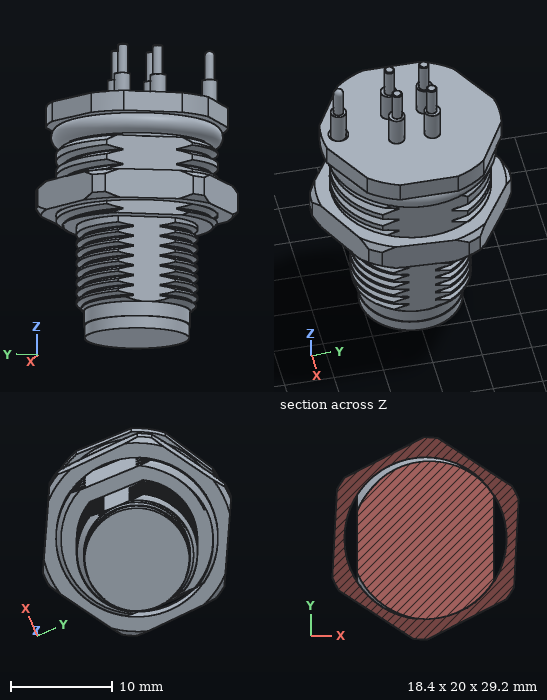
import cadquery as cq
import math

total_height = 29.2
stub_step_z = 1.23
plug_thread_bottom_z = 2.7
mount_thread_bottom_z = 11.2
nut_bottom_z = 12.35
nut_height = 2.85
mount_thread_top_z = 19.05
flange_thickness = 2.0
pin_shoulder_z = 26.2

stub_end_radius = 5.17
stub_radius = 5.25
plug_crest_radius = 6.0
plug_root_radius = 5.43
plug_pitch = 1.0
plug_groove_floor = 0.12
plug_end_chamfer = 0.7
plug_flat_half_width = stub_radius
mount_crest_radius = 8.0
mount_root_radius = 7.27
mount_pitch = 1.5
mount_groove_floor = 0.1
mount_end_chamfer = 0.5
mount_flat_half_width = 6.75
flats_slab_depth = 3 * mount_crest_radius

thread_half_angle = 30.0
groove_overshoot = 0.15
groove_start_angle = 180.0
mount_groove_start_z = 10.25
mount_groove_turns = 5.5
plug_groove_start_z = 2.35
plug_groove_turns = 8.5

ring_thickness = 2.0
ring_section_radius = ring_thickness / 2
ring_outer_radius = 8.5
ring_inner_radius = ring_outer_radius - ring_thickness
neck_gap = 0.18
flange_half_flats = ring_outer_radius
flange_corner_radius = 9.0
flange_bottom_z = mount_thread_top_z + neck_gap + ring_thickness
flange_top_z = flange_bottom_z + flange_thickness
ring_center_z = flange_bottom_z - ring_section_radius

nut_half_flats = 9.0
nut_corner_radius = 20.0 / 2
nut_chamfer = 0.53
nut_twist = -3.0

pin_offset = 1.75
sleeve_offset = 1.8
pin_radius = 0.5
sleeve_radius = 0.8
pin_chamfer = 0.1
earth_pin_y = -7.3
earth_sleeve_radius = 0.75
earth_recess_radius = 1.0
earth_recess_depth = earth_recess_radius - earth_sleeve_radius


def cylinder(radius, bottom_z, top_z, x=0.0, y=0.0):
    """Upright cylinder between two levels."""
    return cq.Workplane("XY", origin=(x, y, bottom_z)).circle(radius).extrude(top_z - bottom_z)


def rounded_hexagon(half_flats, corner_radius, bottom_z, height):
    """Hexagonal plate with flats facing +X and -X, its corners trimmed by a cylinder."""
    corner_diameter = 2 * half_flats / math.cos(math.radians(30))
    hexagon = (
        cq.Workplane("XY", origin=(0, 0, bottom_z))
        .transformed(rotate=(0, 0, 30))
        .polygon(6, corner_diameter)
        .extrude(height)
    )
    return hexagon.intersect(cylinder(corner_radius, bottom_z, bottom_z + height))


def thread_groove(crest_radius, root_radius, floor_width, pitch, turns, start_z):
    """Helical cutter whose narrow floor runs along the thread root."""
    outer_radius = crest_radius + groove_overshoot
    flank_width = (outer_radius - root_radius) * math.tan(math.radians(thread_half_angle))
    half_floor = floor_width / 2
    half_mouth = half_floor + flank_width
    path = cq.Wire.makeHelix(pitch, pitch * turns, root_radius)
    groove = (
        cq.Workplane("XZ")
        .moveTo(root_radius, -half_floor)
        .lineTo(root_radius, half_floor)
        .lineTo(outer_radius, half_mouth)
        .lineTo(outer_radius, -half_mouth)
        .close()
        .sweep(cq.Workplane(obj=path), isFrenet=True)
    )
    return groove.rotate((0, 0, 0), (0, 0, 1), groove_start_angle).translate((0, 0, start_z))


def side_flats(half_width, bottom_z, top_z):
    """Slab that trims a threaded length to two flats facing +X and -X."""
    slab = cq.Workplane("XY", origin=(0, 0, bottom_z)).rect(2 * half_width, flats_slab_depth)
    return slab.extrude(top_z - bottom_z)


def make_plug_thread():
    blank = cylinder(plug_crest_radius, plug_thread_bottom_z, mount_thread_bottom_z)
    blank = blank.faces("<Z").chamfer(plug_end_chamfer)
    groove = thread_groove(
        plug_crest_radius,
        plug_root_radius,
        plug_groove_floor,
        plug_pitch,
        plug_groove_turns,
        plug_groove_start_z,
    )
    flats = side_flats(plug_flat_half_width, plug_thread_bottom_z, mount_thread_bottom_z)
    return blank.cut(groove).intersect(flats)


def make_mount_thread():
    blank = cylinder(mount_crest_radius, mount_thread_bottom_z, mount_thread_top_z)
    blank = blank.faces("<Z or >Z").chamfer(mount_end_chamfer)
    groove = thread_groove(
        mount_crest_radius,
        mount_root_radius,
        mount_groove_floor,
        mount_pitch,
        mount_groove_turns,
        mount_groove_start_z,
    )
    flats = side_flats(mount_flat_half_width, mount_thread_bottom_z, mount_thread_top_z)
    return blank.cut(groove).intersect(flats)


def make_flange():
    flange = rounded_hexagon(flange_half_flats, flange_corner_radius, flange_bottom_z, flange_thickness)
    recess = cq.Workplane(
        obj=cq.Solid.makeCone(
            earth_sleeve_radius,
            earth_recess_radius,
            earth_recess_depth,
            pnt=cq.Vector(0, earth_pin_y, flange_top_z - earth_recess_depth),
        )
    )
    return flange.cut(recess)


def make_contact_pin(x_side, y_side):
    """Sleeve with a slimmer chamfered pin standing slightly nearer the axis."""
    sleeve = cylinder(
        sleeve_radius, flange_bottom_z, pin_shoulder_z, x_side * sleeve_offset, y_side * sleeve_offset
    )
    pin = cylinder(pin_radius, flange_bottom_z, total_height, x_side * pin_offset, y_side * pin_offset)
    return sleeve.union(pin.faces(">Z").chamfer(pin_chamfer))


def make_earth_pin():
    """Sleeve with a slimmer round-ended pin."""
    dome_z = total_height - pin_radius
    sleeve = cylinder(earth_sleeve_radius, flange_bottom_z, pin_shoulder_z, 0, earth_pin_y)
    pin = cylinder(pin_radius, flange_bottom_z, dome_z, 0, earth_pin_y)
    dome = cq.Workplane("XY", origin=(0, earth_pin_y, dome_z)).sphere(pin_radius)
    return sleeve.union(pin).union(dome)


def make_connector():
    connector = cylinder(stub_end_radius, 0, stub_step_z)
    connector = connector.union(cylinder(stub_radius, stub_step_z, plug_thread_bottom_z))
    connector = connector.union(make_plug_thread())
    connector = connector.union(make_mount_thread())
    connector = connector.union(cylinder(ring_inner_radius, mount_thread_top_z, flange_bottom_z))
    connector = connector.union(make_flange())
    for x_side in (-1, 1):
        for y_side in (-1, 1):
            connector = connector.union(make_contact_pin(x_side, y_side))
    return connector.union(make_earth_pin())


def make_o_ring():
    ring_center_radius = ring_outer_radius - ring_section_radius
    section = cq.Workplane("XZ").center(ring_center_radius, ring_center_z).circle(ring_section_radius)
    return section.revolve(360, (-ring_center_radius, 0, 0), (-ring_center_radius, 1, 0))


def make_nut():
    """Hexagon nut with both ends chamfered at the corners and a plain bore."""
    blank = rounded_hexagon(nut_half_flats, nut_corner_radius, nut_bottom_z, nut_height)
    nut_top_z = nut_bottom_z + nut_height
    disc = cylinder(nut_corner_radius, nut_bottom_z, nut_top_z)
    chamfered_disc = disc.faces("<Z or >Z").chamfer(nut_chamfer)
    bore = cylinder(mount_crest_radius, nut_bottom_z, nut_top_z)
    nut = blank.intersect(chamfered_disc).cut(bore)
    return nut.rotate((0, 0, 0), (0, 0, 1), nut_twist)


connector = make_connector()
o_ring = make_o_ring()
nut = make_nut()

bodies = [connector, o_ring, nut]
result = cq.Compound.makeCompound([body.solids().val() for body in bodies])